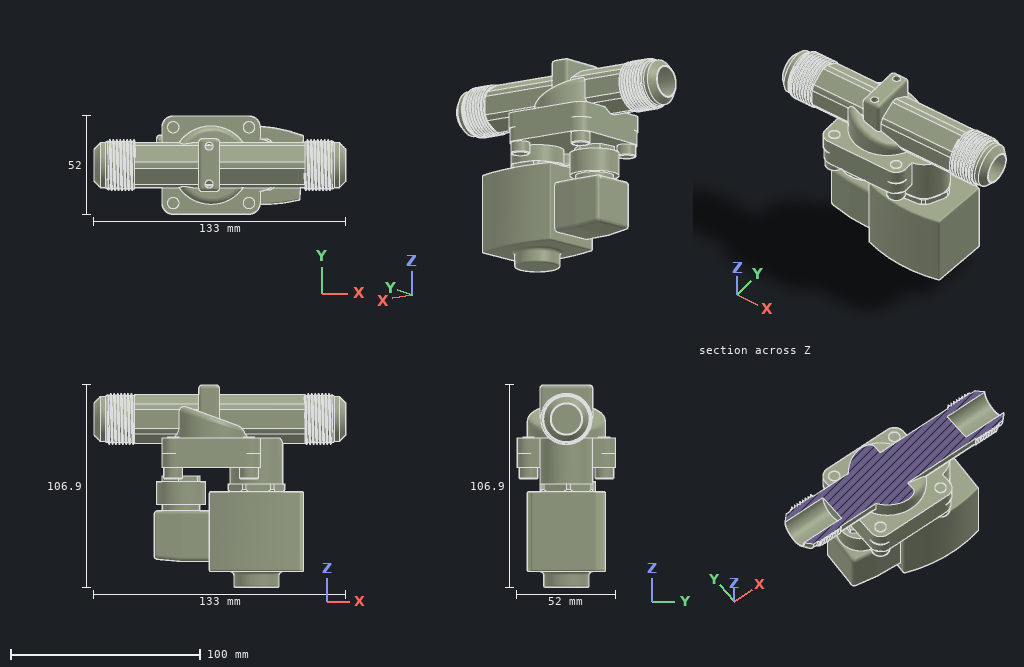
import cadquery as cq
import math


pipe_length = 133.0
pipe_across_flats = 24.0
pipe_corner_dia = 26.0
bore_dia = 16.0
bore_depth = 25.0
nose_tip_dia = 17.0
nose_dia = 24.0
nose_length = 6.0
thread_end = 45.0
thread_major_dia = 27.0
thread_minor_dia = 25.0
thread_pitch = 25.4 / 14
thread_crest = 0.12
thread_base = 1.1
thread_start_angle = -159.0
thread_chamfer_length = 2.4
thread_root_overlap = 0.2
thread_crest_overlap = 0.05

bar_x = -5.7
bar_thickness = 11.0
bar_width = 28.0
bar_top = 18.0
bar_fillet = 2.0
bar_hole_dia = 4.2
bar_hole_pitch = 20.0
bar_hole_depth = 10.0
drill_angle = 118.0

flange_x = -4.65
flange_size = 52.0
flange_top = -10.0
flange_joint = -18.1
flange_bottom = -25.6
body_corner_radius = 6.0
cover_corner_radius = 7.1
bonnet_dia = 41.4
bonnet_slope = 20.0
bonnet_crest_x = -18.7
bonnet_crest_z = 6.8
bonnet_fillet = 3.0
screw_pitch = 40.0
screw_dia = 6.0
screw_tip_rise = 0.4
screw_head_dia = 10.0
screw_head_height = 6.0
screw_head_chamfer = 0.5

column_x = 19.3
column_dia = 28.0
nut_top = -34.4
nut_across_flats = 27.0
nut_corner_dia = 30.0
nut_chamfer_dia = 28.0
nut_bevel_angle = 30.0
nut_turn = 4.2
coil_turn = -3.4
coil_top = -38.3
coil_bottom = -80.6
coil_half_length = 24.0
coil_corner_half_width = 17.0
coil_half_width = 20.7
coil_fillet = 1.0

knob_bottom = -88.9
knob_dia = 24.0
knob_fillet = 1.0
knob_root_fillet = 1.9

plug_bend = 38.8
plug_end = 53.5
plug_half_width = 13.75
plug_end_half_width = 12.7
plug_top = -48.4
plug_bottom = -75.3
plug_end_bottom = -74.0
plug_fillet = 2.0
plug_end_fillet = 1.9
gland_distance = 39.9
gland_neck_dia = 20.0
gland_cap_dia = 26.0
gland_cap_bottom = -45.2
gland_cap_top = -33.1
gland_hex_top = -30.0
gland_hex_across_flats = 19.0
gland_hex_turn = -7.3

hex_half_angle = 30.0
hex_corner_factor = 1 / math.cos(math.radians(hex_half_angle))
full_turn = 360.0
z_direction = (0, 0, 1)
origin = (0, 0, 0)


def cylinder(x, y, bottom, top, diameter):
    """Upright cylinder between two heights."""
    return cq.Workplane("XY", origin=(x, y, bottom)).circle(diameter / 2).extrude(top - bottom)


def upright_hexagon(x, y, bottom, top, across_flats, turn):
    """Upright hexagon with a flat facing -Y, turned about its own axis."""
    hexagon = cq.Workplane("XY").polygon(6, across_flats * hex_corner_factor).extrude(top - bottom)
    return hexagon.rotate(origin, z_direction, turn).translate((x, y, bottom))


def turn_with_coil(shape):
    """Turn a shape about the column axis by the coil's angle."""
    return shape.rotate((column_x, 0, 0), (column_x, 0, 1), coil_turn)


def thread_ridge(length):
    """Helical ridge about Z, starting at the origin plane."""
    root_radius = thread_minor_dia / 2 - thread_root_overlap
    crest_radius = thread_major_dia / 2 + thread_crest_overlap
    helix = cq.Wire.makeHelix(thread_pitch, length, thread_minor_dia / 2)
    profile = cq.Workplane("XZ").polyline(
        [
            (root_radius, -thread_base / 2),
            (crest_radius, -thread_crest / 2),
            (crest_radius, thread_crest / 2),
            (root_radius, thread_base / 2),
        ]
    ).close()
    return profile.sweep(cq.Workplane(obj=helix), isFrenet=True)


def make_stub():
    """Threaded stub about Z: inner end at the origin plane, coned nose at the top."""
    length = pipe_length / 2 - thread_end
    thread_length = length - nose_length
    nose_cone = (nose_dia - nose_tip_dia) / 2
    nose_radius = nose_dia / 2
    crest_radius = thread_major_dia / 2
    core = cylinder(0, 0, 0, thread_length, thread_minor_dia)
    ridge = thread_ridge(thread_length).rotate(origin, z_direction, thread_start_angle)
    thread_limit = (
        cq.Workplane("XZ")
        .polyline(
            [
                (0, -thread_pitch),
                (crest_radius, -thread_pitch),
                (crest_radius, thread_length - thread_chamfer_length),
                (nose_radius, thread_length),
                (0, thread_length),
            ]
        )
        .close()
        .revolve(full_turn, origin, (0, 1, 0))
    )
    nose = cylinder(0, 0, thread_length, length, nose_dia).faces(">Z").chamfer(nose_cone)
    return core.union(ridge).intersect(thread_limit).union(nose)


def make_pipe():
    """Hexagonal pipe with rounded corners and a threaded stub at each end."""
    pipe_hex_dia = pipe_across_flats * hex_corner_factor
    hexagon = cq.Workplane("YZ").polygon(6, pipe_hex_dia).extrude(thread_end, both=True)
    hexagon = hexagon.rotate(origin, (1, 0, 0), hex_half_angle)
    round_bar = cq.Workplane("YZ").circle(pipe_corner_dia / 2).extrude(thread_end, both=True)
    pipe = hexagon.intersect(round_bar)
    right_stub = make_stub().rotate(origin, (0, 1, 0), 90).translate((thread_end, 0, 0))
    left_stub = right_stub.rotate(origin, z_direction, 180)
    return pipe.union(right_stub).union(left_stub)


def cut_bores(part):
    """Blind bore into each end of the pipe."""
    for side in (-1, 1):
        bore = cq.Workplane("YZ", origin=(side * pipe_length / 2, 0, 0)).circle(bore_dia / 2)
        part = part.cut(bore.extrude(-side * bore_depth))
    return part


def make_bar():
    """Upright bar across the pipe with two drilled holes in its top."""
    bar = (
        cq.Workplane("XY", origin=(bar_x, 0, flange_top))
        .rect(bar_thickness, bar_width)
        .extrude(bar_top - flange_top)
        .edges("|Z or >Z")
        .fillet(bar_fillet)
    )
    hole_radius = bar_hole_dia / 2
    tip_depth = hole_radius / math.tan(math.radians(drill_angle / 2))
    hole_bottom = bar_top - bar_hole_depth
    for side in (-1, 1):
        y = side * bar_hole_pitch / 2
        bar = bar.cut(cylinder(bar_x, y, hole_bottom, bar_top, bar_hole_dia))
        tip_start = cq.Vector(bar_x, y, hole_bottom)
        tip = cq.Solid.makeCone(hole_radius, 0, tip_depth, tip_start, cq.Vector(0, 0, -1))
        bar = bar.cut(cq.Workplane(obj=tip))
    return bar


def make_bonnet():
    """Round bonnet whose top slopes down towards +X."""
    radius = bonnet_dia / 2
    left = flange_x - radius
    right = flange_x + radius
    slope = math.tan(math.radians(bonnet_slope))
    left_top = bonnet_crest_z + (bonnet_crest_x - left) * slope
    right_top = left_top - bonnet_dia * slope
    side_profile = (
        cq.Workplane("XZ")
        .polyline([(left, flange_bottom), (right, flange_bottom), (right, right_top), (left, left_top)])
        .close()
        .extrude(radius, both=True)
    )
    bonnet = cylinder(flange_x, 0, flange_bottom, left_top, bonnet_dia).intersect(side_profile)
    return bonnet.faces(">Z").edges().fillet(bonnet_fillet)


def make_flange():
    """Square flange: body plate above, cover plate with rounder corners below."""

    def plate(bottom, top, corner_radius):
        block = cq.Workplane("XY", origin=(flange_x, 0, bottom)).rect(flange_size, flange_size)
        return block.extrude(top - bottom).edges("|Z").fillet(corner_radius)

    body_plate = plate(flange_joint, flange_top, body_corner_radius)
    cover_plate = plate(flange_bottom, flange_joint, cover_corner_radius)
    return body_plate.union(cover_plate)


def make_screws():
    """Four screws with heads below the flange and tips just above it."""
    screws = cq.Workplane("XY")
    for x_side in (-1, 1):
        for y_side in (-1, 1):
            x = flange_x + x_side * screw_pitch / 2
            y = y_side * screw_pitch / 2
            head = cylinder(x, y, flange_bottom - screw_head_height, flange_bottom, screw_head_dia)
            head = head.faces("<Z").chamfer(screw_head_chamfer)
            shank = cylinder(x, y, flange_bottom, flange_top + screw_tip_rise, screw_dia)
            screws = screws.union(head).union(shank)
    return screws


def make_column():
    """Round column that carries the coil."""
    return cylinder(column_x, 0, nut_top, flange_top, column_dia)


def make_nut():
    """Hexagon nut with corners turned round and a bevel underneath."""
    hexagon = upright_hexagon(column_x, 0, coil_top, nut_top, nut_across_flats, nut_turn)
    bevel_width = (nut_corner_dia - nut_chamfer_dia) / 2
    bevel_height = bevel_width * math.tan(math.radians(nut_bevel_angle))
    blank = cylinder(column_x, 0, coil_top, nut_top, nut_corner_dia)
    blank = blank.faces("<Z").chamfer(bevel_width, bevel_height)
    return hexagon.intersect(blank)


def make_coil():
    """Coil housing with two bulging sides and rounded edges."""
    left = column_x - coil_half_length
    right = column_x + coil_half_length
    coil = (
        cq.Workplane("XY", origin=(0, 0, coil_bottom))
        .moveTo(left, -coil_corner_half_width)
        .threePointArc((column_x, -coil_half_width), (right, -coil_corner_half_width))
        .lineTo(right, coil_corner_half_width)
        .threePointArc((column_x, coil_half_width), (left, coil_corner_half_width))
        .close()
        .extrude(coil_top - coil_bottom)
        .edges()
        .fillet(coil_fillet)
    )
    return turn_with_coil(coil)


def make_knob():
    """Round knob that flares into the coil through a hollow fillet."""
    radius = knob_dia / 2
    flare_centre_x = radius + knob_root_fillet
    flare_centre_z = coil_bottom - knob_root_fillet
    flare_reach = knob_root_fillet * math.sin(math.radians(45))
    knob = (
        cq.Workplane("XZ")
        .moveTo(0, knob_bottom)
        .lineTo(radius, knob_bottom)
        .lineTo(radius, flare_centre_z)
        .threePointArc(
            (flare_centre_x - flare_reach, flare_centre_z + flare_reach),
            (flare_centre_x, coil_bottom),
        )
        .lineTo(0, coil_bottom)
        .close()
        .revolve(full_turn, origin, (0, 1, 0))
        .translate((column_x, 0, 0))
    )
    return knob.faces("<Z").edges().fillet(knob_fillet)


def plug_section(distance, half_width, bottom):
    """Rounded rectangular outline of the plug at a distance from the column axis."""
    height = plug_top - bottom
    section = cq.Sketch().rect(2 * half_width, height).vertices().fillet(plug_fillet)
    middle = (column_x - distance, 0, plug_top - height / 2)
    return cq.Workplane("YZ", origin=middle).placeSketch(section).extrude(1).faces("<X").wires().val()


def make_plug():
    """Connector block that tapers towards its outer end at both sides and underneath."""
    sections = [
        plug_section(plug_end, plug_end_half_width, plug_end_bottom),
        plug_section(plug_bend, plug_half_width, plug_bottom),
        plug_section(0, plug_half_width, plug_bottom),
    ]
    plug = cq.Workplane(obj=cq.Solid.makeLoft(sections, True))
    return turn_with_coil(plug.faces("<X").edges().fillet(plug_end_fillet))


def make_gland():
    """Cable gland on the plug: neck, round cap and hexagon."""
    x = column_x - gland_distance
    neck = cylinder(x, 0, plug_top, gland_cap_bottom, gland_neck_dia)
    cap = cylinder(x, 0, gland_cap_bottom, gland_cap_top, gland_cap_dia)
    hex_turn = hex_half_angle + gland_hex_turn - coil_turn
    hexagon = upright_hexagon(x, 0, gland_cap_top, gland_hex_top, gland_hex_across_flats, hex_turn)
    return turn_with_coil(neck.union(cap).union(hexagon))


part = make_flange()
part = part.union(make_bonnet())
part = part.union(make_screws())
part = part.union(make_column())
part = part.union(make_nut())
part = part.union(make_coil())
part = part.union(make_knob())
part = part.union(make_plug())
part = part.union(make_gland())
part = part.union(make_bar())
part = part.union(make_pipe())
result = cut_bores(part)